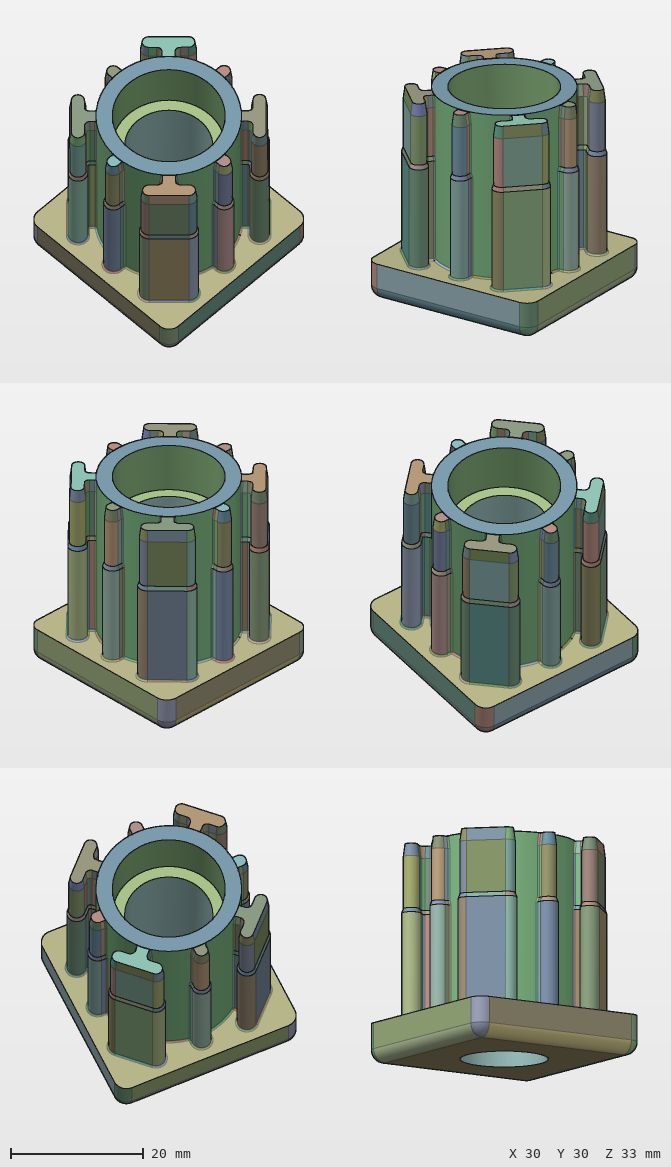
import cadquery as cq
import math

plate_side = 30.0
plate_thickness = 6.0
plate_round = 2.0

total_height = 33.0
tube_radius = 11.0
counterbore_radius = 8.5
counterbore_depth = 8.0
bore_radius = 6.65

rib_reach = 13.3
rib_radius = 1.5
rib_inset = 0.25
root_round = 0.3
root_overlap = 0.005
base_round = 0.25
bar_half_spacing = 3.0
rib_setback = 0.1
rib_top = total_height - rib_setback
step_bottom = 22.28
step_top = 22.97
taper_bottom = 30.95

nose_centre = rib_reach - rib_radius
bar_centre = nose_centre * math.sqrt(2) - bar_half_spacing

rib_sections = [
    (plate_thickness, 0.0),
    (step_bottom, 0.0),
    (step_top, rib_inset),
    (taper_bottom, rib_inset),
    (rib_top, 2 * rib_inset),
]


def root_distance(half_width):
    """Distance from the axis where the root round ends, just inside the tube wall."""
    return math.sqrt(tube_radius**2 - (half_width + root_round) ** 2) - root_overlap


def quarter_arc(outline, centre, radius, middle_angle, end_angle):
    """Add an arc about the centre, through one angle and up to another (degrees)."""
    points = []
    for angle in (middle_angle, end_angle):
        turn = math.radians(angle)
        points.append((centre[0] + radius * math.cos(turn), centre[1] + radius * math.sin(turn)))
    return outline.threePointArc(*points)


def start_outline(z, half_width):
    """Begin a rib pointing along +X: buried root, then the right-hand root round."""
    root = root_distance(half_width)
    side = half_width + root_round
    outline = cq.Workplane("XY").workplane(offset=z)
    outline = outline.moveTo(root - rib_radius, -side).lineTo(root, -side)
    return quarter_arc(outline, (root + root_round, -side), root_round, 135, 90)


def finish_outline(outline, half_width):
    """End a rib with the left-hand root round and close it inside the tube wall."""
    root = root_distance(half_width)
    side = half_width + root_round
    outline = outline.lineTo(root + root_round, half_width)
    outline = quarter_arc(outline, (root + root_round, side), root_round, 225, 180)
    return outline.lineTo(root - rib_radius, side).close()


def finger_outline(z, inset):
    """Round-nosed rib section."""
    radius = rib_radius - inset
    outline = start_outline(z, radius).lineTo(nose_centre, -radius)
    outline = quarter_arc(outline, (nose_centre, 0), radius, 0, 90)
    return finish_outline(outline, radius)


def tee_outline(z, inset):
    """T-shaped rib section: a stem carrying a cross bar with round ends."""
    radius = rib_radius - inset
    corner = root_round + inset
    corner_x = bar_centre - radius - corner
    corner_y = radius + corner
    outline = start_outline(z, radius).lineTo(corner_x, -radius)
    outline = quarter_arc(outline, (corner_x, -corner_y), corner, 45, 0)
    outline = outline.lineTo(bar_centre - radius, -bar_half_spacing)
    outline = quarter_arc(outline, (bar_centre, -bar_half_spacing), radius, 270, 360)
    outline = outline.lineTo(bar_centre + radius, bar_half_spacing)
    outline = quarter_arc(outline, (bar_centre, bar_half_spacing), radius, 90, 180)
    outline = outline.lineTo(bar_centre - radius, corner_y)
    outline = quarter_arc(outline, (corner_x, corner_y), corner, 315, 270)
    return finish_outline(outline, radius)


def make_rib(outline_at):
    """Stack the straight and tapering lengths of one rib."""
    wires = [outline_at(z, inset).val() for z, inset in rib_sections]
    return cq.Workplane(cq.Solid.makeLoft(wires, True))


def make_plate():
    """Square plate with rounded upright and bottom edges."""
    plate = cq.Workplane("XY").box(plate_side, plate_side, plate_thickness, centered=(True, True, False))
    return plate.edges("|Z or <Z").fillet(plate_round)


body = make_plate().union(cq.Workplane("XY").circle(tube_radius).extrude(total_height))

finger = make_rib(finger_outline)
tee = make_rib(tee_outline)
for quarter in range(4):
    body = body.union(finger.rotate((0, 0, 0), (0, 0, 1), 90 * quarter))
    body = body.union(tee.rotate((0, 0, 0), (0, 0, 1), 90 * quarter + 45))

zone_margin = 0.33
zone_half_side = plate_side / 2 - zone_margin
base_zone = cq.selectors.BoxSelector(
    (-zone_half_side, -zone_half_side, plate_thickness - zone_margin),
    (zone_half_side, zone_half_side, plate_thickness + zone_margin),
    boundingbox=True,
)
body = body.edges(base_zone).fillet(base_round)

bore = cq.Workplane("XY").circle(bore_radius).extrude(total_height)
counterbore = (
    cq.Workplane("XY")
    .workplane(offset=total_height - counterbore_depth)
    .circle(counterbore_radius)
    .extrude(counterbore_depth)
)
result = body.cut(bore).cut(counterbore)